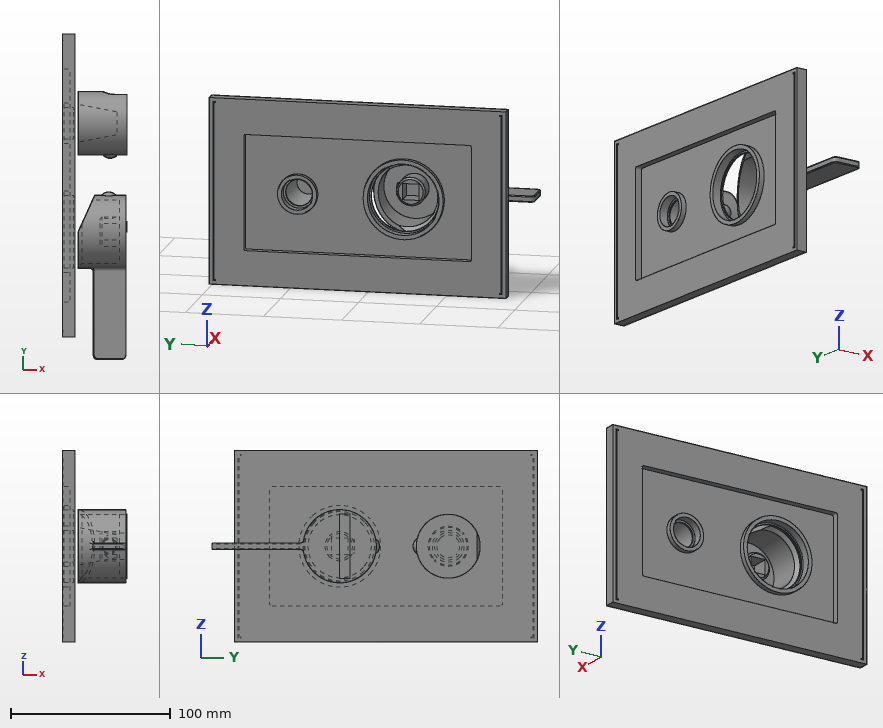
import cadquery as cq
import math

total_length = 204.0

plate_length = 190.0
plate_height = 120.0
plate_thickness = 8.0
plate_edge_round = 0.6
pocket_length = 145.7
pocket_height = 74.7
pocket_depth = 4.7
pocket_corner_radius = 1.2
groove_width = 0.6
groove_depth = 0.5
groove_margin = 2.5
groove_return = 1.6

rim_height = 3.7
ledge_thickness = 1.0
small_rim_diameter = 25.0
small_bore_diameter = 20.0
small_hole_diameter = 17.1
large_rim_diameter = 51.2
large_bore_diameter = 45.7
large_hole_diameter = 43.5

small_y = 39.0
lever_y = -29.0
knob_gap = 1.8
knob_back = plate_thickness + knob_gap
knob_front = 40.4
dome_diameter = 8.8
dome_height = 2.0

small_diameter = 40.0
small_mouth_diameter = 23.7
small_floor_diameter = 14.3
small_cavity_depth = 24.5
flat_depth = 1.8
flat_length = 7.8
flat_runout_length = 7.5
small_dome_x = 29.8

lever_diameter = 46.0
mark_height = 0.6
lever_front = knob_front - mark_height
lever_edge_round = 0.6
lever_cavity_diameter = 39.5
lever_front_wall = 4.0
lever_mouth_chamfer = 2.5
slant_run = 10.5
lever_dome_x = 29.0
mark_width = 6.5
mark_length = 40.2

socket_diameter = 18.4
socket_square = 10.5
socket_end_chamfer = 1.2
socket_length = 12.2
pad_diameter = 8.4
pad_reach = 9.4

blade_width = 20.6
blade_thickness = 4.0
blade_root_fillet = 2.0
blade_corner_radius = 3.0
blade_edge_chamfer = 0.6


def cylinder_x(diameter, x_start, x_end, y):
    """Cylinder along X, centred at the given Y and Z = 0."""
    plane = cq.Workplane("YZ", origin=(x_start, y, 0))
    return plane.circle(diameter / 2).extrude(x_end - x_start)


def cone_x(start_diameter, end_diameter, x_start, length, y):
    """Truncated cone along X, centred at the given Y and Z = 0."""
    plane = cq.Workplane("YZ", origin=(x_start, y, 0))
    return plane.circle(start_diameter / 2).workplane(offset=length).circle(end_diameter / 2).loft()


def block(x_range, y_range, z_range):
    """Axis-aligned block from its limits along X, Y and Z."""
    size = [high - low for low, high in (x_range, y_range, z_range)]
    corner = (x_range[0], y_range[0], z_range[0])
    return cq.Workplane("XY").box(*size, centered=False).translate(corner)


def dome(x, y, direction):
    """Spherical cap standing on a knob's side, rising along +Y or -Y."""
    base_radius = dome_diameter / 2
    sphere_radius = (base_radius**2 + dome_height**2) / (2 * dome_height)
    centre_y = y + direction * (dome_height - sphere_radius)
    return cq.Workplane("XY").sphere(sphere_radius).translate((x, centre_y, 0))


def edge_groove(side):
    """Fine upright groove near one end of the plate's back face, turned inward at its tips."""
    outer = plate_length / 2 - groove_margin
    top = plate_height / 2 - groove_margin
    depth = (0, groove_depth)
    groove = block(depth, (outer - groove_width, outer), (-top, top))
    for tip in (-top, top - groove_width):
        groove = groove.union(block(depth, (outer - groove_return, outer), (tip, tip + groove_width)))
    return groove if side > 0 else groove.mirror("XZ")


def make_plate():
    plate = block(
        (0, plate_thickness),
        (-plate_length / 2, plate_length / 2),
        (-plate_height / 2, plate_height / 2),
    )
    plate = plate.faces(">X").edges().fillet(plate_edge_round)

    pocket = block(
        (0, pocket_depth),
        (-pocket_length / 2, pocket_length / 2),
        (-pocket_height / 2, pocket_height / 2),
    )
    plate = plate.cut(pocket.edges("|X").fillet(pocket_corner_radius))

    holes = [
        (small_y, small_rim_diameter, small_bore_diameter, small_hole_diameter),
        (lever_y, large_rim_diameter, large_bore_diameter, large_hole_diameter),
    ]
    ledge_x = plate_thickness - ledge_thickness
    for y, rim, bore, hole in holes:
        rim_x = pocket_depth - rim_height
        plate = plate.union(cylinder_x(rim, rim_x, pocket_depth, y))
        plate = plate.cut(cylinder_x(bore, rim_x, ledge_x, y))
        plate = plate.cut(cylinder_x(hole, ledge_x, plate_thickness, y))

    for side in (-1, 1):
        plate = plate.cut(edge_groove(side))
    return plate


def make_small_knob():
    radius = small_diameter / 2
    knob = cylinder_x(small_diameter, knob_back, knob_front, small_y)
    knob = knob.union(dome(small_dome_x, small_y - radius, -1))

    flat_y = small_y + radius - flat_depth
    top_y = small_y + radius
    flat_x = knob_front - flat_length
    runout_radius = (flat_runout_length**2 + flat_depth**2) / (2 * flat_depth)
    half_sweep = math.asin(flat_runout_length / runout_radius) / 2
    arc_middle = (
        flat_x - runout_radius * math.sin(half_sweep),
        flat_y + runout_radius * (1 - math.cos(half_sweep)),
    )
    flat = (
        cq.Workplane("XY")
        .moveTo(knob_front, flat_y)
        .lineTo(flat_x, flat_y)
        .threePointArc(arc_middle, (flat_x - flat_runout_length, top_y))
        .lineTo(knob_front, top_y)
        .close()
        .extrude(radius, both=True)
    )
    knob = knob.cut(flat)

    cavity = cone_x(small_mouth_diameter, small_floor_diameter, knob_back, small_cavity_depth, small_y)
    return knob.cut(cavity)


def make_lever_body():
    """Knob cylinder and flat blade, blended at the root and cut flush at the front."""
    radius = lever_diameter / 2
    tip_y = plate_length / 2 - total_length
    overrun = lever_front + 4 * blade_root_fillet
    half_thickness = blade_thickness / 2
    blade = block((lever_front - blade_width, overrun), (tip_y, lever_y), (-half_thickness, half_thickness))
    blade = blade.edges("<X and <Y").fillet(blade_corner_radius)
    blade = blade.faces("|Z").edges("<X").chamfer(blade_edge_chamfer)
    body = cylinder_x(lever_diameter, knob_back, overrun, lever_y).union(blade)

    root = cq.selectors.BoxSelector(
        (knob_back + blade_root_fillet, lever_y - radius - 0.5, -blade_thickness),
        (overrun - 0.2, lever_y - radius + 0.5, blade_thickness),
    )
    body = body.edges(root).fillet(blade_root_fillet)
    body = body.cut(
        block((lever_front, overrun + 2), (tip_y - 2, lever_y + 2 * radius), (-2 * radius, 2 * radius))
    )
    body = body.faces("<Y").edges("|Z and >X").fillet(blade_corner_radius)
    return body.faces(">X").edges().fillet(lever_edge_round)


def make_lever():
    radius = lever_diameter / 2
    lever = make_lever_body()

    slant = (
        cq.Workplane("XY")
        .polyline([
            (knob_back, lever_y),
            (knob_back + slant_run, lever_y + radius),
            (knob_back, lever_y + radius),
        ])
        .close()
        .extrude(radius, both=True)
    )

    floor_x = lever_front - lever_front_wall
    cavity = cylinder_x(lever_cavity_diameter, knob_back, floor_x, lever_y)
    mouth_diameter = lever_cavity_diameter + 2 * lever_mouth_chamfer
    mouth = cone_x(mouth_diameter, lever_cavity_diameter, knob_back, lever_mouth_chamfer, lever_y)
    lever = lever.cut(slant).cut(cavity).cut(mouth)

    socket_x = floor_x - socket_length
    socket = cylinder_x(socket_diameter, socket_x, floor_x, lever_y).faces("<X").chamfer(socket_end_chamfer)
    pad = (
        cq.Workplane("XZ", origin=(lever_dome_x, lever_y, 0))
        .circle(pad_diameter / 2)
        .extrude(-pad_reach)
    )
    square = (
        cq.Workplane("YZ", origin=(socket_x, lever_y, 0))
        .rect(socket_square, socket_square)
        .extrude(socket_length)
    )
    lever = lever.union(socket.union(pad).cut(square))

    cap = dome(lever_dome_x, lever_y + radius, 1).cut(cavity)
    mark = block(
        (lever_front, knob_front),
        (lever_y, lever_y + mark_width),
        (-mark_length / 2, mark_length / 2),
    )
    return lever.union(cap).union(mark)


plate = make_plate()
small_knob = make_small_knob()
lever = make_lever()

result = cq.Compound.makeCompound([plate.val(), small_knob.val(), lever.val()])